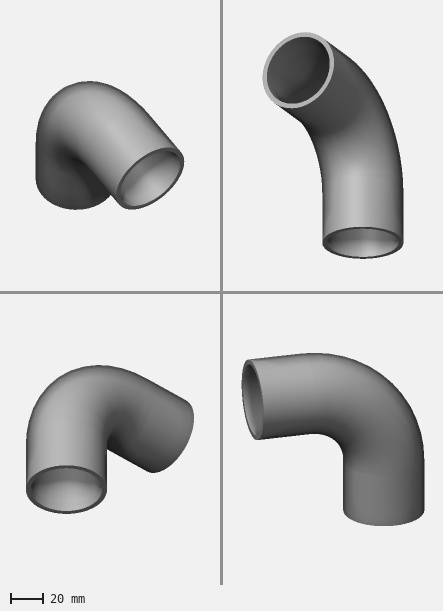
import cadquery as cq

overall_size = 109.0
outer_diameter = 50.0
bore_diameter = 44.0
bend_radius = outer_diameter

straight_length = overall_size - bend_radius - outer_diameter / 2


def elbow(diameter):
    """Round bar rising along Z, bending a quarter turn and leaving along +X."""
    radius = diameter / 2
    lower_leg = cq.Workplane("XY").circle(radius).extrude(straight_length)
    bend = (
        cq.Workplane("XY")
        .workplane(offset=straight_length)
        .circle(radius)
        .revolve(90, (bend_radius, 0), (bend_radius, 1))
    )
    upper_leg = (
        cq.Workplane("YZ", origin=(bend_radius, 0, straight_length + bend_radius))
        .circle(radius)
        .extrude(straight_length)
    )
    return lower_leg.union(bend).union(upper_leg)


result = elbow(outer_diameter).cut(elbow(bore_diameter))